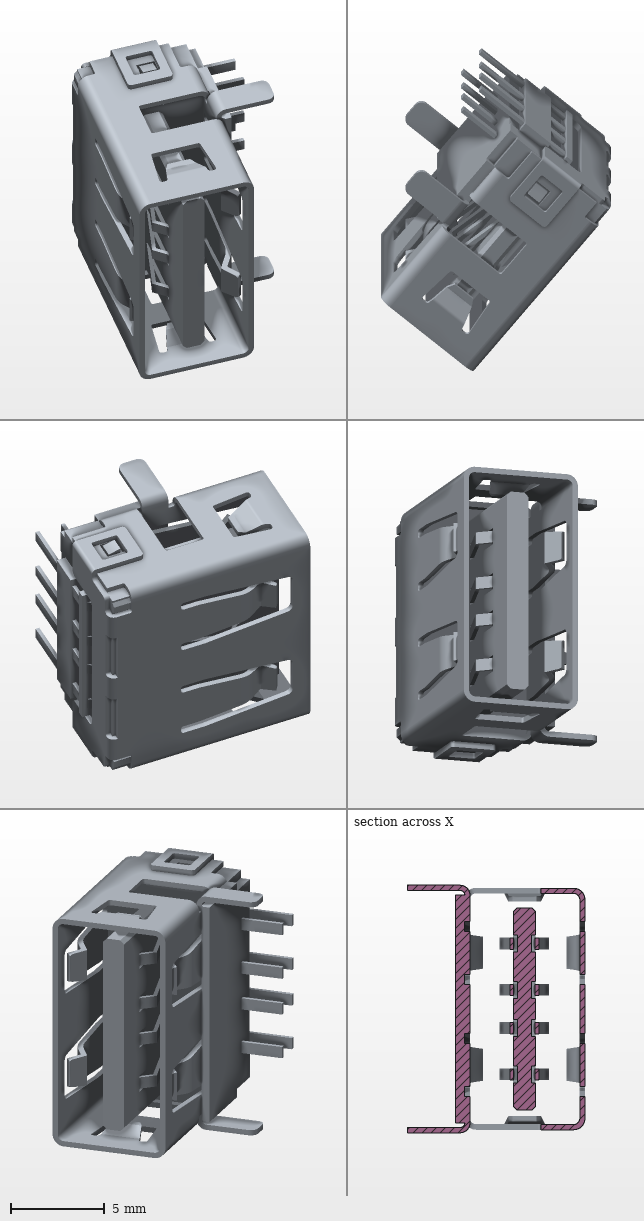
import cadquery as cq
import math


length = 12.0
sheet = 0.3
shell_depth = 6.44
shell_half = 6.46
corner_radius = 0.62
inner_half = shell_half - sheet
mid_depth = shell_depth / 2

plate_rear = 0.22
plate_front = plate_rear + sheet
plate_half = 6.12
fold_radius = 0.4
arm_start = 2.28
arm_end = 4.8
tab_half = 6.78
tab_end = 3.28
tab_fold_radius = 0.25
tab_corner_radius = 0.2
arm_root_radius = 0.25
rear_opening_half = 4.5
rear_opening_radius = 0.37

fold_notch_start = 0.76
fold_notch_end = 3.66
fold_notch_x = 0.69
fold_notch_y = 0.53
corner_notch_x = 1.53
corner_notch_z = 5.15
plate_corner_radius = 0.22
corner_notch_plate_y = 0.62
corner_notch_side_y = 0.99
pin_side_notch_x = 2.49
pin_side_notch_y = 5.45
small_radius = 0.12

window_x = (4.61, 6.85)
window_y = 2.38
window_panel_z = 5.76
leg_x = (4.97, 6.49)
leg_tip = 9.5
leg_tip_radius = 0.4
leg_bend_radius = 0.26
leg_bend_y = shell_depth + leg_bend_radius
leg_bend_z = 6.07

latch_window = (1.08, 2.6, 2.8, 4.31)
latch_hole = (1.59, 2.6, 3.27, 4.28)
latch_x = (1.71, 2.4)
latch_y = (3.39, 4.16)
latch_peak = 6.64

spring_z = 3.0
spring_slot_x = (4.4, 10.96)
spring_slot_half = (1.7, 1.22)
spring_slot_knee = 5.83
spring_half = (1.22, 0.77)
spring_knee = 5.47
spring_tip = 10.25
spring_flat_end = 7.72
spring_bend = (8.35, 0)
spring_valley = (9.35, 0.62)
spring_lip = (10.03, 0.08)
spring_bend_radius = 1.49
spring_valley_radius = 0.07
slot_end_radius = 0.16
slot_corner_radius = 0.33
spring_tip_radius = 0.2

side_slot_x = (8.35, 10.58)
side_slot_half = (1.37, 1.61)
side_spring_half = (0.64, 0.85, 1.18)
side_spring_tip = 8.93
side_spring_knee = 9.31
side_spring_root = 10.19
side_spring_root_radius = 0.31
side_spring_depth = 0.43

housing_half = 6.1
housing_y = 6.95
housing_end = 4.34
flange_end = 6.67
flange_chamfer = 0.16
flange_step_half = 5.62
block_half = 4.28
block_y = (4.55, 6.31)
bar_half = 4.38
bar_y = (3.06, 3.45)
rear_recess_half = 4.23
rear_recess_depth = 0.05
nub_y = 0.11
nub_start = 5.35
nub_chamfer = 0.31
tongue_y = (2.64, 3.85)
tongue_mid = sum(tongue_y) / 2
tongue_half = 5.42
tongue_end = 11.38
tongue_chamfer = 0.22

contact_z = (-3.5, -1.02, 1.02, 3.5)
contact_width = 0.64
contact_sheet = 0.22
groove_half = 0.45
groove_x = (5.25, 9.04)
contact_peak_x = 8.22
contact_peak_y = 4.54
pin_tip = 9.28
pin_thickness = 0.22
rear_pin_x = 0.11
rear_pin_start = 2.89
rear_pin_bend_radius = 0.62
inner_pin_x = 1.6
inner_pin_start = 4.06


def block(x0, x1, y0, y1, z0, z1):
    """Box given by its limits along each axis."""
    return cq.Workplane("XY").box(x1 - x0, y1 - y0, z1 - z0, centered=False).translate((x0, y0, z0))


def both_halves(solid):
    """The solid together with its mirror image across Z = 0."""
    return solid.union(solid.mirror("XY"))


def extrude_y(points, y0, y1):
    """Outline in X and Z, extruded from y0 to y1."""
    return cq.Workplane("XZ", origin=(0, y0, 0)).polyline(points).close().extrude(y0 - y1)


def extrude_z(points, z0, z1):
    """Outline in X and Y, extruded from z0 to z1."""
    return cq.Workplane("XY", origin=(0, 0, z0)).polyline(points).close().extrude(z1 - z0)


def symmetric_outline(half_outline, middle):
    """Close a list of (position, half width) pairs around a centre line."""
    upper = [(x, middle + half) for x, half in half_outline]
    lower = [(x, middle - half) for x, half in reversed(half_outline)]
    return upper + lower


def strip_outline(line, thickness):
    """Outline of a bent strip, with the thickness added on the left of the line."""
    normals = []
    for (x0, y0), (x1, y1) in zip(line, line[1:]):
        run = math.hypot(x1 - x0, y1 - y0)
        normals.append(((y0 - y1) / run, (x1 - x0) / run))
    before = normals[:1] + normals
    after = normals + normals[-1:]
    offset = []
    for (x, y), (ax, ay), (bx, by) in zip(line, before, after):
        mitre = thickness / (1 + ax * bx + ay * by)
        offset.append((x + mitre * (ax + bx), y + mitre * (ay + by)))
    return line + offset[::-1]


def round_bend(solid, edges, point, radius):
    """Round the edge nearest to a point, among the edges in one direction."""
    return solid.edges(edges).edges(cq.NearestToPointSelector(point)).fillet(radius)


def make_tube():
    """Rectangular shell tube with its rear and side cut-outs."""
    outer = block(plate_front, length, 0, shell_depth, -shell_half, shell_half)
    inner = block(plate_front, length, sheet, shell_depth - sheet, -inner_half, inner_half)
    tube = outer.edges("|X").fillet(corner_radius).cut(inner.edges("|X").fillet(corner_radius - sheet))
    rear_fold = block(0, plate_rear + fold_radius, 0, sheet, -inner_half, inner_half)
    rear_panel = block(0, pin_side_notch_x, pin_side_notch_y, housing_y, -tab_half, tab_half)
    tube = tube.cut(rear_fold).cut(rear_panel.edges(">X and <Y").fillet(small_radius))
    window = block(*window_x, window_y, shell_depth, window_panel_z, tab_half)
    window = window.edges("|Z and <Y").fillet(small_radius)
    window = window.edges("|Y and <Z").fillet(small_radius)
    return tube.cut(both_halves(window))


def make_rear_plate():
    """Rear plate folded from the front panel, with arms that wrap over both sides."""
    outer = block(plate_rear, fold_notch_x, 0, arm_end, -plate_half, plate_half)
    inner = block(plate_front, fold_notch_x, sheet, arm_end, -plate_half, plate_half)
    plate = outer.edges("<X and <Y").fillet(fold_radius)
    plate = plate.cut(inner.edges("<X and <Y").fillet(fold_radius - sheet))
    wrap = block(plate_rear, tab_end, arm_start, arm_end, -tab_half, tab_half)
    wrap = wrap.edges("<X and |Y").fillet(tab_fold_radius)
    wrap = wrap.edges(">X and |Z").fillet(tab_corner_radius)
    wrap = wrap.cut(block(plate_front, tab_end, arm_start, arm_end, -shell_half, shell_half))
    root_start = arm_start - arm_root_radius
    root = block(plate_rear, plate_front, root_start, arm_start, plate_half, shell_half)
    hollow = cq.Workplane("YZ", origin=(plate_rear, root_start, plate_half + arm_root_radius))
    root = root.cut(hollow.circle(arm_root_radius).extrude(sheet))
    root = root.cut(
        block(plate_rear, plate_front, root_start, arm_start, plate_half + arm_root_radius, shell_half)
    )
    opening = block(
        plate_rear, plate_front, arm_start, arm_end + rear_opening_radius,
        -rear_opening_half, rear_opening_half,
    )
    opening = opening.edges("|X and <Y").fillet(rear_opening_radius)
    plate = plate.union(wrap).union(both_halves(root)).cut(opening)
    for z in (-rear_opening_half, rear_opening_half):
        plate = round_bend(plate, "|X", (plate_rear, arm_end, z), rear_opening_radius)
    return plate


def make_rear_notches():
    """Openings along the rear fold and at the two rear corners of the front panel."""
    fold = block(0, fold_notch_x, -0.14, fold_notch_y, fold_notch_start, fold_notch_end)
    front = block(0, corner_notch_x, -0.14, corner_notch_plate_y, corner_notch_z, tab_half)
    side = block(0, corner_notch_x, -0.14, corner_notch_side_y, plate_half, tab_half)
    fold = fold.edges("|X and >Y").fillet(small_radius)
    front = front.edges("|X and >Y and <Z").fillet(plate_corner_radius)
    front = front.edges("|Y and >X and <Z").fillet(small_radius)
    side = side.edges("|Z and >X and >Y").fillet(small_radius)
    return both_halves(fold.union(front).union(side))


def make_panel_spring():
    """Spring slot, area to clear and bent tongue of one front panel spring."""
    slot_outline = [
        (spring_slot_x[0], spring_slot_half[0]),
        (spring_slot_knee, spring_slot_half[0]),
        (spring_slot_x[1], spring_slot_half[1]),
    ]
    tongue_outline = [
        (spring_slot_x[0], spring_half[0]),
        (spring_knee, spring_half[0]),
        (spring_tip, spring_half[1]),
    ]
    slot = extrude_y(symmetric_outline(slot_outline, spring_z), 0, sheet)
    slot = slot.edges("|Y and >X").fillet(slot_corner_radius)
    tongue = extrude_y(symmetric_outline(tongue_outline, spring_z), 0, 2 * spring_valley[1])
    tongue = tongue.edges("|Y and >X").fillet(spring_tip_radius)
    slot = slot.cut(tongue).edges("|Y and <X").fillet(slot_end_radius)
    bent_area = tongue.intersect(block(spring_flat_end, length, 0, sheet, 0, tab_half))
    line = [(spring_flat_end, 0), spring_bend, spring_valley, spring_lip]
    bent = extrude_z(strip_outline(line, sheet), 0, tab_half)
    middle = tab_half / 2
    bent = round_bend(bent, "|Z", (*spring_bend, middle), spring_bend_radius)
    inner_bend = (spring_bend[0], sheet, middle)
    bent = round_bend(bent, "|Z", inner_bend, spring_bend_radius - sheet)
    bent = round_bend(bent, "|Z", (*spring_valley, middle), spring_valley_radius)
    return slot.union(bent_area), bent.intersect(tongue)


def make_side_spring():
    """Slot and bent flap of the spring in the upper narrow side."""
    slot_outline = list(zip(side_slot_x, side_slot_half))
    flap_x = (side_spring_tip, side_spring_knee, side_slot_x[1])
    flap_outline = symmetric_outline(list(zip(flap_x, side_spring_half)), mid_depth)
    slot = extrude_z(symmetric_outline(slot_outline, mid_depth), inner_half, shell_half)
    flap = extrude_z(flap_outline, 0, shell_half)
    slot = slot.cut(flap).edges("|Z and >X").fillet(slot_end_radius)
    slot = slot.edges("|Z and <X").fillet(small_radius)
    slot = slot.union(flap.intersect(block(0, length, 0, shell_depth, inner_half, shell_half)))
    line = [
        (side_slot_x[1], shell_half),
        (side_spring_root, shell_half),
        (side_spring_knee, shell_half - side_spring_depth),
        (side_spring_tip, shell_half - side_spring_depth),
    ]
    bent = extrude_y(strip_outline(line, sheet), 0, shell_depth)
    root = (side_spring_root, mid_depth, shell_half)
    bent = round_bend(bent, "|Y", root, side_spring_root_radius).intersect(flap)
    return slot, bent


def make_leg():
    """Mounting leg that rises from the pin-side panel and bends outwards."""
    outer_radius = leg_bend_radius + sheet
    centre = (leg_bend_y, leg_bend_z)
    top = leg_bend_z + outer_radius
    bend = cq.Workplane("YZ", origin=(leg_x[0], 0, 0)).center(*centre)
    bend = bend.circle(outer_radius).circle(leg_bend_radius).extrude(leg_x[1] - leg_x[0])
    bend = bend.intersect(block(*leg_x, 0, leg_bend_y, leg_bend_z, top))
    root = block(*leg_x, shell_depth - sheet, shell_depth, window_panel_z, leg_bend_z)
    blade = block(*leg_x, leg_bend_y, leg_tip, top - sheet, top)
    blade = blade.edges("|Z and >Y").fillet(leg_tip_radius)
    return bend.union(root).union(blade)


def make_shell():
    """Complete folded shell with springs in all four sides and two legs."""
    notches = make_rear_notches()
    plate = make_rear_plate().cut(notches)
    for z in (-plate_half, plate_half):
        plate = round_bend(plate, "|X", (plate_rear, corner_notch_plate_y, z), plate_corner_radius)
    shell = make_tube().cut(notches).union(plate)

    window = block(*latch_window, shell_half, tab_half).edges("|Z").fillet(small_radius)
    hole = block(*latch_hole, inner_half, shell_half)
    shell = shell.cut(both_halves(window.union(hole)))

    panel_slot, panel_bent = make_panel_spring()
    for slot, bent in [make_side_spring(), (panel_slot, panel_bent)]:
        shell = shell.cut(both_halves(slot)).union(both_halves(bent))
    rear_slot = panel_slot.mirror("XZ", (0, mid_depth, 0))
    rear_bent = panel_bent.mirror("XZ", (0, mid_depth, 0))
    shell = shell.cut(both_halves(rear_slot)).union(both_halves(rear_bent))
    return shell.union(both_halves(make_leg()))


def make_tongue():
    """Housing tongue with a groove for every contact on both faces."""
    tongue = block(plate_front, tongue_end, *tongue_y, -tongue_half, tongue_half)
    tongue = tongue.edges("|X").chamfer(tongue_chamfer)
    for z in contact_z:
        for y0, y1 in [
            (tongue_y[0], tongue_y[0] + contact_sheet),
            (tongue_y[1] - contact_sheet, tongue_y[1]),
        ]:
            tongue = tongue.cut(block(*groove_x, y0, y1, z - groove_half, z + groove_half))
    return tongue


def make_housing():
    """Moulded body behind the tongue, with its rear bars, corner nubs and latches."""
    body = block(plate_front, housing_end, sheet, shell_depth, -housing_half, housing_half)
    flange = block(plate_front, flange_end, shell_depth, housing_y, -housing_half, housing_half)
    flange = flange.edges(">X and <Y").chamfer(flange_chamfer)
    housing = body.union(flange)
    step = block(plate_front, pin_side_notch_x, shell_depth, housing_y, flange_step_half, tab_half)
    housing = housing.cut(both_halves(step))
    recess = block(
        plate_front, plate_front + rear_recess_depth, block_y[1], housing_y,
        -rear_recess_half, rear_recess_half,
    )
    housing = housing.cut(recess)
    housing = housing.union(block(0, plate_front, *block_y, -block_half, block_half))
    housing = housing.union(block(0, plate_front, *bar_y, -bar_half, bar_half))

    nub = block(plate_front, corner_notch_x, nub_y, corner_notch_side_y, nub_start, housing_half)
    nub = nub.edges("<Y and >Z").chamfer(nub_chamfer)
    latch_outline = [
        (latch_x[0], housing_half),
        (latch_x[0], shell_half),
        (latch_x[1], latch_peak),
        (latch_x[1], housing_half),
    ]
    latch = extrude_y(latch_outline, *latch_y)
    return housing.union(both_halves(nub)).union(both_halves(latch)).union(make_tongue())


def make_contact(z):
    """The two sprung strips and the two pins at one contact position."""
    tail = tongue_y[1] - contact_sheet
    line = [
        (housing_end, tail),
        (groove_x[0], tail),
        (contact_peak_x, contact_peak_y - contact_sheet),
        (groove_x[1] - contact_sheet, tail),
        (groove_x[1], tail),
    ]
    limits = (z - contact_width / 2, z + contact_width / 2)
    strip = extrude_z(strip_outline(line, contact_sheet), *limits)
    contact = strip.union(strip.mirror("XZ", (0, tongue_mid, 0)))
    pin_line = [
        (housing_end, rear_pin_start),
        (rear_pin_x, rear_pin_start),
        (rear_pin_x, pin_tip),
    ]
    rear_pin = extrude_z(strip_outline(pin_line, -pin_thickness), *limits)
    outer_bend = (rear_pin_x, rear_pin_start, z)
    inner_bend = (rear_pin_x + pin_thickness, rear_pin_start + pin_thickness, z)
    rear_pin = round_bend(rear_pin, "|Z", outer_bend, rear_pin_bend_radius)
    rear_pin = round_bend(rear_pin, "|Z", inner_bend, rear_pin_bend_radius - pin_thickness)
    inner_pin = block(inner_pin_x, inner_pin_x + pin_thickness, inner_pin_start, pin_tip, *limits)
    return contact.union(rear_pin).union(inner_pin)


result = make_shell().union(make_housing())
for position in contact_z:
    result = result.union(make_contact(position))